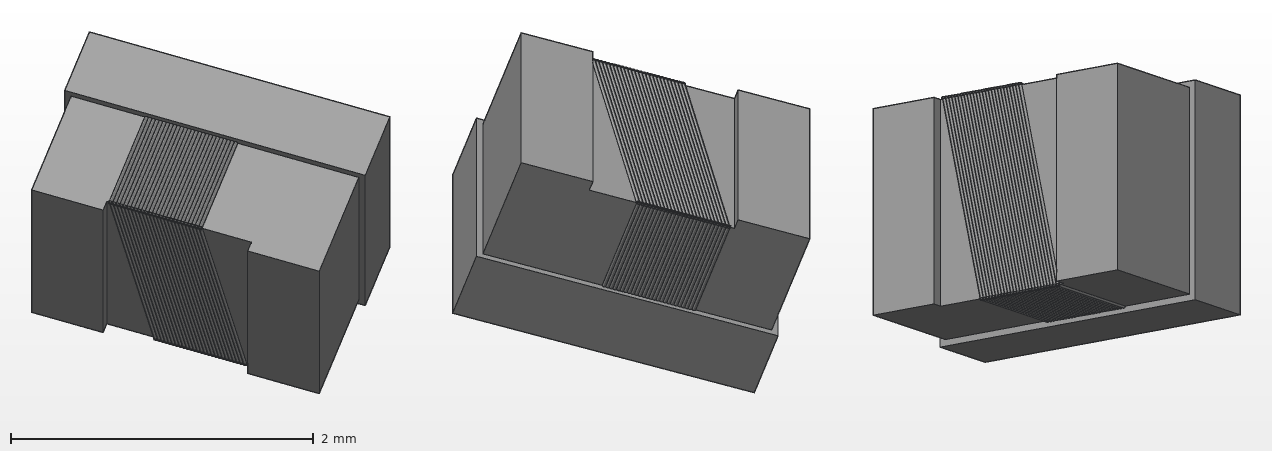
import cadquery as cq
flange_width = 2.1
flange_thickness = 0.5
flange_height = 1.5
part_depth = 1.3

core_margin = 0.045
core_width = flange_width - 2 * core_margin
core_height = flange_height - 2 * core_margin
front_y = -part_depth / 2
core_rear_y = part_depth / 2 - flange_thickness

recess_width = 1.01
recess_depth = 0.075
recess_y = front_y + recess_depth

wire_count = 26
wire_diameter = 0.025
wire_radius = wire_diameter / 2
winding_width = wire_count * wire_diameter
base_thickness = 0.002
winding_top_x = -0.49
winding_bottom_x = -0.175


def block(width, height, y_start, y_end):
    """Box centred on X and Z that spans y_start to y_end."""
    depth = y_end - y_start
    return cq.Workplane("XY").box(width, depth, height).translate((0, y_start + depth / 2, 0))


def quarter_arc(centre, start_direction, end_direction):
    """Quarter circle of the wire radius between two perpendicular unit directions."""
    middle_direction = (start_direction + end_direction).normalized()
    points = [centre + way * wire_radius for way in (start_direction, middle_direction, end_direction)]
    return cq.Edge.makeThreePointArc(*points)


def wire_layer(origin, outward, run):
    """Row of half-round wires starting at origin, bulging outward and swept along run.

    A thin flat base below the wires is sunk into the core.
    """
    right = cq.Vector(1, 0, 0)
    edges = []
    for index in range(wire_count):
        centre = origin + right * (wire_radius + index * wire_diameter)
        edges.append(quarter_arc(centre, -right, outward))
        edges.append(quarter_arc(centre, outward, right))
    end = origin + right * winding_width
    base = outward * base_thickness
    edges.append(cq.Edge.makeLine(end, end - base))
    edges.append(cq.Edge.makeLine(end - base, origin - base))
    edges.append(cq.Edge.makeLine(origin - base, origin))
    profile = cq.Wire.assembleEdges(edges)
    return cq.Workplane(cq.Solid.extrudeLinear(profile, [], run))


def make_core():
    flange = block(flange_width, flange_height, core_rear_y, part_depth / 2)
    body = block(core_width, core_height, front_y, core_rear_y)
    recess = block(recess_width, core_height, front_y, recess_y)
    return flange.union(body).cut(recess)


def make_winding():
    """Straight runs over the top and bottom and a slanted run across the recess.

    Every run ends level with the crowns of the run it meets at the corner.
    """
    up = cq.Vector(0, 0, 1)
    forward = cq.Vector(0, -1, 0)
    surface_z = core_height / 2
    crown_z = surface_z + wire_radius
    crown_y = recess_y - wire_radius
    straight_run = cq.Vector(0, core_rear_y - crown_y, 0)
    slanted_run = cq.Vector(winding_bottom_x - winding_top_x, 0, -2 * crown_z)
    top = wire_layer(cq.Vector(winding_top_x, crown_y, surface_z), up, straight_run)
    bottom = wire_layer(cq.Vector(winding_bottom_x, crown_y, -surface_z), -up, straight_run)
    front = wire_layer(cq.Vector(winding_top_x, recess_y, crown_z), forward, slanted_run)
    return [top, bottom, front]


result = make_core()
for run in make_winding():
    result = result.union(run, clean=False)